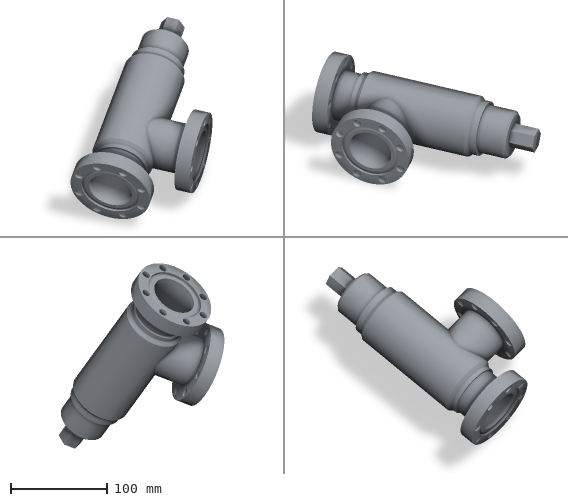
import cadquery as cq


FLANGE_DIAMETER = 86.0
FLANGE_THICKNESS = 16.0
BOLT_COUNT = 8
BOLT_CIRCLE_DIAMETER = 72.7
BOLT_HOLE_DIAMETER = 8.6
FIRST_BOLT_ANGLE = 180 / BOLT_COUNT

RECESS_DIAMETER = 62.0
KNIFE_TIP_DIAMETER = 55.0
KNIFE_TIP_DEPTH = 1.5
RECESS_DEPTH = 2.5

PIPE_DIAMETER = 53.1
BORE_DIAMETER = 46.5
BRANCH_POSITION = 76.0
OVERALL_WIDTH = 119.0
BRANCH_LENGTH = OVERALL_WIDTH - FLANGE_DIAMETER / 2
BORE_END_MARGIN = 7.0

BARREL_DIAMETER = 65.0
COLLAR_DIAMETER = 58.0
BARREL_CHAMFER_LENGTH = 4.2
LOWER_COLLAR_START = 35.9
BARREL_START = 41.0
BARREL_END = 168.2
UPPER_COLLAR_END = 176.0

BONNET_DIAMETER = 51.0
BONNET_CHAMFER = 2.8
BONNET_END = 207.0
HEX_ACROSS_FLATS = 22.1
HEX_TURN = 30
SPINDLE_END = 233.0

INLET_PORT = cq.Plane(origin=(0, 0, 0), xDir=(1, 0, 0), normal=(0, -1, 0))
BRANCH_PORT = cq.Plane(origin=(BRANCH_LENGTH, BRANCH_POSITION, 0), xDir=(0, 1, 0), normal=(1, 0, 0))


def station(y):
    """Workplane across the main axis at distance y from the inlet face, facing +Y."""
    return cq.Workplane(cq.Plane(origin=(0, y, 0), xDir=(1, 0, 0), normal=(0, 1, 0)))


def rod(start, end, diameter):
    """Cylinder on the main axis between two stations."""
    return station(start).circle(diameter / 2).extrude(end - start)


def flange(port):
    """Flange disc behind a port's sealing face, with its ring of bolt holes."""
    disc = cq.Workplane(port).circle(FLANGE_DIAMETER / 2).extrude(-FLANGE_THICKNESS)
    bolt_holes = (
        cq.Workplane(port)
        .polarArray(BOLT_CIRCLE_DIAMETER / 2, FIRST_BOLT_ANGLE, 360, BOLT_COUNT)
        .circle(BOLT_HOLE_DIAMETER / 2)
        .extrude(-FLANGE_THICKNESS)
    )
    return disc.cut(bolt_holes)


def sealing_recess(port):
    """Space cut from a port's face, leaving the knife edge standing inside it."""
    tip_radius = KNIFE_TIP_DIAMETER / 2
    recess_radius = RECESS_DIAMETER / 2
    section_plane = cq.Plane(origin=port.origin, xDir=port.xDir, normal=-port.yDir)
    return (
        cq.Workplane(section_plane)
        .polyline([
            (0, 0),
            (recess_radius, 0),
            (recess_radius, -RECESS_DEPTH),
            (tip_radius, -KNIFE_TIP_DEPTH),
            (0, -KNIFE_TIP_DEPTH),
        ])
        .close()
        .revolve(360, (0, 0), (0, 1))
    )


def bore(port, depth):
    """Round passage running from a port's face into the valve."""
    return cq.Workplane(port).circle(BORE_DIAMETER / 2).extrude(-depth)


def make_housing():
    """Barrel with its collars, both pipes and both flanges, with one passage joining the ports."""
    barrel = (
        rod(BARREL_START, BARREL_END, BARREL_DIAMETER)
        .edges("%CIRCLE")
        .chamfer(BARREL_CHAMFER_LENGTH, (BARREL_DIAMETER - COLLAR_DIAMETER) / 2)
    )
    collar = rod(LOWER_COLLAR_START, UPPER_COLLAR_END, COLLAR_DIAMETER)
    inlet_pipe = rod(FLANGE_THICKNESS, BARREL_START, PIPE_DIAMETER)
    branch_pipe = (
        cq.Workplane(BRANCH_PORT)
        .workplane(offset=-BRANCH_LENGTH)
        .circle(PIPE_DIAMETER / 2)
        .extrude(BRANCH_LENGTH - FLANGE_THICKNESS)
    )
    housing = barrel.union(collar).union(inlet_pipe).union(branch_pipe)
    for port in (INLET_PORT, BRANCH_PORT):
        housing = housing.union(flange(port)).cut(sealing_recess(port))
    inlet_bore_depth = BRANCH_POSITION + BORE_DIAMETER / 2 + BORE_END_MARGIN
    return housing.cut(bore(INLET_PORT, inlet_bore_depth)).cut(bore(BRANCH_PORT, BRANCH_LENGTH))


def make_bonnet():
    """Round cap on the end of the upper collar, chamfered at its outer end."""
    return rod(UPPER_COLLAR_END, BONNET_END, BONNET_DIAMETER).faces(">Y").chamfer(BONNET_CHAMFER)


def make_spindle():
    """Hexagonal drive standing on the bonnet, with flats facing +Z and -Z."""
    return (
        station(BONNET_END)
        .transformed(rotate=(0, 0, HEX_TURN))
        .polygon(6, HEX_ACROSS_FLATS, circumscribed=True)
        .extrude(SPINDLE_END - BONNET_END)
    )


housing = make_housing()
bonnet = make_bonnet()
spindle = make_spindle()

result = cq.Compound.makeCompound([body.solids().val() for body in (housing, bonnet, spindle)])